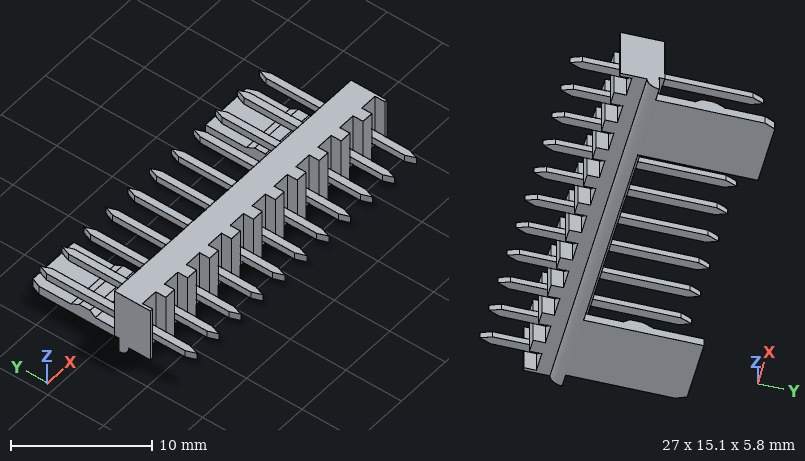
import cadquery as cq

pin_count = 11
pitch = 2.5
pin_size = 0.64
pin_tip = 0.87
pin_front = -6.7
pin_back = 7.5
pin_height = 2.6

housing_length = 27.0
housing_front = -3.25
housing_back = 0.0
total_height = 5.8
housing_bottom = 0.9
heel_step_depth = 0.4
heel_step_height = 1.35
groove_width = 1.5
groove_depth = 0.9

latch_length_pitches = 2
latch_back = 8.4
latch_thickness = 0.83
latch_corner_width = 0.33
latch_corner_length = 0.8
bump_height = 0.42
bump_back = 4.7
bump_top_back = 3.95
bump_top_front = 2.98
bump_front = 2.5

half_row = (pin_count - 1) * pitch / 2
pin_places = [index * pitch - half_row for index in range(pin_count)]


def make_housing():
    """Bar of constant section with a rounded heel under its rear edge."""
    heel_face = housing_back - heel_step_depth
    heel_radius = housing_bottom
    section = (
        cq.Workplane("YZ", origin=(-housing_length / 2, 0, 0))
        .moveTo(housing_back, total_height)
        .lineTo(housing_back, heel_step_height)
        .lineTo(heel_face, heel_step_height)
        .lineTo(heel_face, 0)
        .radiusArc((heel_face - heel_radius, housing_bottom), heel_radius)
        .lineTo(housing_front, housing_bottom)
        .lineTo(housing_front, total_height)
        .close()
    )
    return section.extrude(housing_length)


def make_groove(x):
    """Upright channel in the front face around one pin."""
    return cq.Workplane("XY").box(
        groove_width, groove_depth, total_height, centered=(True, False, False)
    ).translate((x, housing_front, 0))


def make_pin(x):
    """Square pin with a wedge point at each end."""
    half = pin_size / 2
    outline = [
        (x, pin_front),
        (x + half, pin_front + pin_tip),
        (x + half, pin_back - pin_tip),
        (x, pin_back),
        (x - half, pin_back - pin_tip),
        (x - half, pin_front + pin_tip),
    ]
    return (
        cq.Workplane("XY", origin=(0, 0, pin_height - half))
        .polyline(outline)
        .close()
        .extrude(pin_size)
    )


def make_left_latch():
    """Flat tongue with a locking bump and a clipped outer rear corner."""
    outer = -half_row
    width = latch_length_pitches * pitch
    front = housing_back - heel_step_depth
    bump_top = latch_thickness + bump_height
    profile = [
        (front, 0),
        (latch_back, 0),
        (latch_back, latch_thickness),
        (bump_back, latch_thickness),
        (bump_top_back, bump_top),
        (bump_top_front, bump_top),
        (bump_front, latch_thickness),
        (front, latch_thickness),
    ]
    tongue = cq.Workplane("YZ", origin=(outer, 0, 0)).polyline(profile).close().extrude(width)
    corner = (
        cq.Workplane("XY")
        .polyline([
            (outer, latch_back),
            (outer + latch_corner_width, latch_back),
            (outer, latch_back - latch_corner_length),
        ])
        .close()
        .extrude(latch_thickness)
    )
    return tongue.cut(corner)


result = make_housing()
for place in pin_places:
    result = result.cut(make_groove(place))
for place in pin_places:
    result = result.union(make_pin(place))
left_latch = make_left_latch()
result = result.union(left_latch).union(left_latch.mirror("YZ"))